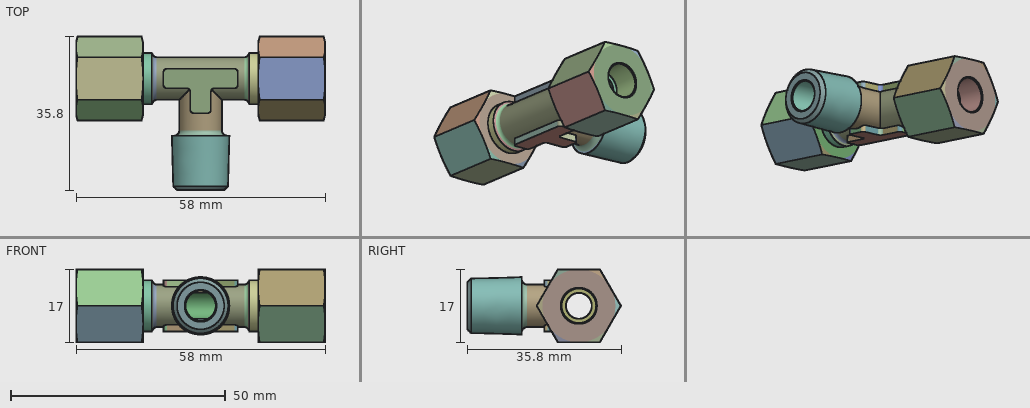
import cadquery as cq
import math

run_length = 58.0
half_run = run_length / 2
branch_length = 26.0
tube_radius = 10.0 / 2

nut_length = 15.6
nut_across_flats = 17.0
nut_across_corners = nut_across_flats / math.cos(math.pi / 6)
nut_corner_setback = 0.35

collar_radius = 12.0 / 2
collar_end = 11.35
collar_cone_angle = math.radians(60)
collar_fillet = 1.0

thread_start = 13.3
thread_large_radius = 13.45 / 2
thread_small_radius = 12.8 / 2
thread_chamfer = 0.9
neck_fillet = 1.2

flat_height = collar_radius
flat_run_length = 17.35
flat_width = 4.5
flat_stem_width = 4.8
flat_stem_end = 8.05
flat_corner_radius = 0.8

run_bore_radius = 6.0 / 2
branch_bore_radius = 7.0 / 2
branch_bore_chamfer = 0.25
socket_radius = 8.0 / 2
socket_depth = 6.95
socket_chamfer = 0.25

X_AXIS = ((0, 0, 0), (1, 0, 0))
Y_AXIS = ((0, 0, 0), (0, 1, 0))


def make_nut():
    """Hexagon on the +X end, with corners turned off by a shallow cone at both faces."""
    inner = half_run - nut_length
    face_radius = nut_across_flats / 2
    corner_radius = nut_across_corners / 2
    hexagon = (
        cq.Workplane("YZ", origin=(inner, 0, 0))
        .polygon(6, nut_across_corners)
        .extrude(nut_length)
    )
    turned = (
        cq.Workplane("XY")
        .moveTo(inner, 0)
        .lineTo(inner, face_radius)
        .lineTo(inner + nut_corner_setback, corner_radius)
        .lineTo(half_run - nut_corner_setback, corner_radius)
        .lineTo(half_run, face_radius)
        .lineTo(half_run, 0)
        .close()
        .revolve(360, *X_AXIS)
    )
    return hexagon.intersect(turned)


def make_run_tube():
    """Plain tube stock reaching into both nuts."""
    tube_length = run_length - nut_length
    return (
        cq.Workplane("YZ", origin=(-tube_length / 2, 0, 0))
        .circle(tube_radius)
        .extrude(tube_length)
    )


def make_collar():
    """Collar on the +X side, joined to the tube by a concave fillet and a cone."""
    half_angle = collar_cone_angle / 2
    outer = half_run - nut_length / 2
    cone_start_radius = tube_radius + collar_fillet * (1 - math.cos(collar_cone_angle))
    cone_length = (collar_radius - cone_start_radius) / math.tan(collar_cone_angle)
    cone_start = collar_end - cone_length
    fillet_start = cone_start - collar_fillet * math.sin(collar_cone_angle)
    fillet_middle = (
        fillet_start + collar_fillet * math.sin(half_angle),
        tube_radius + collar_fillet * (1 - math.cos(half_angle)),
    )
    return (
        cq.Workplane("XY")
        .moveTo(fillet_start, 0)
        .lineTo(fillet_start, tube_radius)
        .threePointArc(fillet_middle, (cone_start, cone_start_radius))
        .lineTo(collar_end, collar_radius)
        .lineTo(outer, collar_radius)
        .lineTo(outer, 0)
        .close()
        .revolve(360, *X_AXIS)
    )


def make_branch():
    """Branch tube, filleted shoulder and tapered thread body along -Y."""
    arc_offset = neck_fillet * (1 - math.sqrt(0.5))
    fillet_middle = (tube_radius + arc_offset, -thread_start + arc_offset)
    return (
        cq.Workplane("XY")
        .lineTo(tube_radius, 0)
        .lineTo(tube_radius, -thread_start + neck_fillet)
        .threePointArc(fillet_middle, (tube_radius + neck_fillet, -thread_start))
        .lineTo(thread_large_radius, -thread_start)
        .lineTo(thread_small_radius, -branch_length + thread_chamfer)
        .lineTo(thread_small_radius - thread_chamfer, -branch_length)
        .lineTo(0, -branch_length)
        .close()
        .revolve(360, *Y_AXIS)
    )


def make_flats():
    """T-shaped pad through the body, with rounded corners."""
    bar = cq.Workplane("XY").box(flat_run_length, flat_width, 2 * flat_height)
    stem = (
        cq.Workplane("XY")
        .box(flat_stem_width, flat_stem_end, 2 * flat_height)
        .translate((0, -flat_stem_end / 2, 0))
    )
    return bar.union(stem).edges("|Z").fillet(flat_corner_radius)


def make_socket():
    """Tube socket in the +X end with a chamfered mouth."""
    mouth_radius = socket_radius + socket_chamfer
    return (
        cq.Workplane("XY")
        .moveTo(half_run - socket_depth, 0)
        .lineTo(half_run - socket_depth, socket_radius)
        .lineTo(half_run - socket_chamfer, socket_radius)
        .lineTo(half_run, mouth_radius)
        .lineTo(half_run, 0)
        .close()
        .revolve(360, *X_AXIS)
    )


def make_branch_bore():
    """Bore from the branch mouth to the run axis, with a chamfered mouth."""
    mouth_radius = branch_bore_radius + branch_bore_chamfer
    return (
        cq.Workplane("XY")
        .lineTo(branch_bore_radius, 0)
        .lineTo(branch_bore_radius, -branch_length + branch_bore_chamfer)
        .lineTo(mouth_radius, -branch_length)
        .lineTo(0, -branch_length)
        .close()
        .revolve(360, *Y_AXIS)
    )


def both_ends(end):
    """The +X end joined with its mirror image on the -X side."""
    return end.union(end.mirror("YZ"))


run_bore = (
    cq.Workplane("YZ", origin=(-half_run, 0, 0))
    .circle(run_bore_radius)
    .extrude(run_length)
)

body = make_run_tube().union(both_ends(make_collar().union(make_nut())))
body = body.union(make_branch()).union(make_flats())
result = body.cut(run_bore).cut(make_branch_bore()).cut(both_ends(make_socket()))